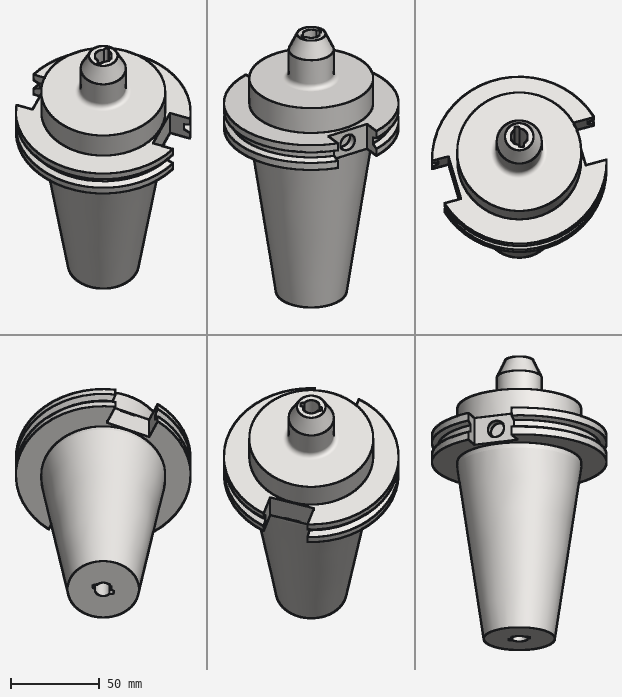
import cadquery as cq
import math


gauge_diameter = 69.85
taper_ratio = 7 / 24
shank_length = 101.6
shank_end_diameter = gauge_diameter - taper_ratio * shank_length

flange_diameter = 98.425
flange_bottom = 3.175
flange_top = 19.05
flange_middle = (flange_bottom + flange_top) / 2

groove_floor_diameter = 91.25
groove_floor_width = 3.7
groove_mouth_width = 6.8
groove_floor_bottom = flange_middle - groove_floor_width / 2
groove_floor_top = flange_middle + groove_floor_width / 2
groove_mouth_bottom = flange_middle - groove_mouth_width / 2
groove_mouth_top = flange_middle + groove_mouth_width / 2

collar_top = 35.0
nose_diameter = 25.4
nose_fillet = 3.0
nose_tip_diameter = 16.0
nose_tip_length = 10.0
nose_top = 63.5

drive_slot_width = 25.908
left_slot_floor = 37.7
right_slot_floor = 35.3

side_hole_diameter = 9.6
side_hole_depth = 5.0

bore_diameter = 9.525
bore_groove_width = 2.8
bore_groove_span = 12.7


def make_body():
    """Revolve the shank, flange, collar and nose around Z."""
    gauge_radius = gauge_diameter / 2
    flange_radius = flange_diameter / 2
    groove_radius = groove_floor_diameter / 2
    nose_radius = nose_diameter / 2
    fillet_diagonal = nose_fillet * (1 - math.sqrt(0.5))
    profile = (
        cq.Workplane("XZ")
        .moveTo(0, -shank_length)
        .lineTo(shank_end_diameter / 2, -shank_length)
        .lineTo(gauge_radius, 0)
        .lineTo(gauge_radius, flange_bottom)
        .lineTo(flange_radius, flange_bottom)
        .lineTo(flange_radius, groove_mouth_bottom)
        .lineTo(groove_radius, groove_floor_bottom)
        .lineTo(groove_radius, groove_floor_top)
        .lineTo(flange_radius, groove_mouth_top)
        .lineTo(flange_radius, flange_top)
        .lineTo(gauge_radius, flange_top)
        .lineTo(gauge_radius, collar_top)
        .lineTo(nose_radius + nose_fillet, collar_top)
        .threePointArc(
            (nose_radius + fillet_diagonal, collar_top + fillet_diagonal),
            (nose_radius, collar_top + nose_fillet),
        )
        .lineTo(nose_radius, nose_top - nose_tip_length)
        .lineTo(nose_tip_diameter / 2, nose_top)
        .lineTo(0, nose_top)
        .close()
    )
    return profile.revolve(360, (0, 0), (0, 1))


def drive_slot(floor_distance, side):
    """Slot cutter reaching outward from floor_distance; side is +1 or -1 along X."""
    reach = flange_diameter / 2
    height = flange_top - flange_bottom
    return (
        cq.Workplane("XY")
        .box(reach, drive_slot_width, height)
        .translate((side * (floor_distance + reach / 2), 0, flange_middle))
    )


def side_hole():
    """Blind radial hole at mid-height of the flange, drilled from the -X slot floor."""
    return (
        cq.Workplane("YZ", origin=(-left_slot_floor, 0, flange_middle))
        .circle(side_hole_diameter / 2)
        .extrude(side_hole_depth)
    )


def grooved_bore():
    """Round bore joined with a round-ended slot along Y, through the full length."""
    length = nose_top + shank_length
    base = cq.Workplane("XY", origin=(0, 0, -shank_length))
    bore = base.circle(bore_diameter / 2).extrude(length)
    grooves = base.slot2D(bore_groove_span, bore_groove_width, 90).extrude(length)
    return bore.union(grooves)


result = (
    make_body()
    .cut(drive_slot(left_slot_floor, -1))
    .cut(drive_slot(right_slot_floor, 1))
    .cut(side_hole())
    .cut(grooved_bore())
)